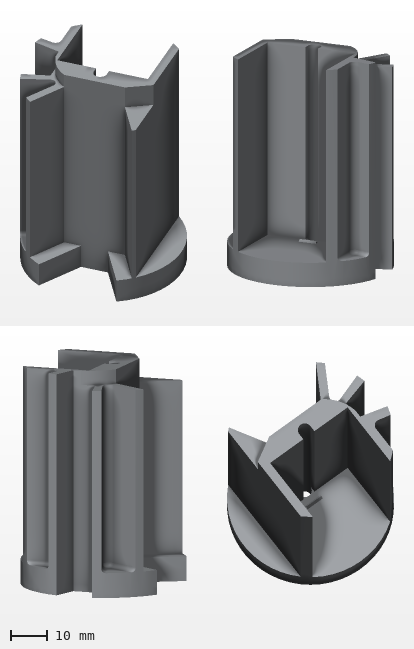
import cadquery as cq
import math

height = 61.5
radius = 22.85
base_height = 6.9
beyond = 2 * radius

body_half_width = 15.8
channel_half_width = 13.3
channel_floor_y = -0.75
front_y = -6.95
front_half_width = 8.9
leg_slope = math.tan(math.radians(60))
gusset_top = 55.0
right_bevel_y = -3.0

hole_radius = 1.9
hole_y = -2.6
ridge_width = 5.1
ridge_back_y = 2.2
ridge_peak_y = 1.55
ridge_front_y = 1.05
ridge_height = 0.6

front_notch_half_width = 3.95
side_notch_x = -14.45
side_notch_y = 0.25
side_notch_half_width = 3.2
side_notch_slope = math.tan(math.radians(15))

bracket_top = 57.55
shoulder_start = (side_notch_x, 1.15)
shoulder_middle = (-12.55, -3.4)
shoulder_end = (-front_half_width, front_y)

pocket_corner_radius = 1.65
pocket_floor_radius = 1.2
bracket_pocket_apex = (-9.7, -3.5)
bracket_pocket_rib_slope = math.tan(math.radians(18.5))
side_pocket_y = 6.75
side_pocket_slope = math.tan(math.radians(13))


def prism(points, bottom, top=height):
    """Extrude a closed polygon between two heights."""
    return cq.Workplane("XY").workplane(offset=bottom).polyline(points).close().extrude(top - bottom)


def filleted_pocket(points, apex):
    """Pocket cutter with a rounded upright corner at the apex and a rounded floor edge."""
    apex_x, apex_y = apex
    span = 0.05
    middle = (base_height + height) / 2
    corner = cq.selectors.BoxSelector(
        (apex_x - span, apex_y - span, middle - span),
        (apex_x + span, apex_y + span, middle + span),
    )
    cutter = prism(points, base_height).edges(corner).fillet(pocket_corner_radius)
    return cutter.faces("<Z").edges().fillet(pocket_floor_radius)


part = cq.Workplane("XY").circle(radius).extrude(height)

part = part.cut(
    prism(
        [
            (-channel_half_width, channel_floor_y),
            (channel_half_width, channel_floor_y),
            (channel_half_width, beyond),
            (-channel_half_width, beyond),
        ],
        base_height,
    )
)
groove_points = [
    (-hole_radius, hole_y),
    (hole_radius, hole_y),
    (hole_radius, channel_floor_y),
    (-hole_radius, channel_floor_y),
]
part = part.cut(prism(groove_points, base_height))
part = part.cut(cq.Workplane("XY").center(0, hole_y).circle(hole_radius).extrude(height))

ridge = (
    cq.Workplane("YZ")
    .polyline(
        [
            (ridge_front_y, base_height),
            (ridge_back_y, base_height),
            (ridge_peak_y, base_height + ridge_height),
        ]
    )
    .close()
    .extrude(ridge_width / 2, both=True)
)
part = part.union(ridge)

part = part.cut(
    prism(
        [
            (body_half_width, -beyond),
            (beyond, -beyond),
            (beyond, beyond),
            (body_half_width, beyond),
        ],
        base_height,
    )
)
leg_end_x = front_half_width + (beyond + front_y) / leg_slope
part = part.cut(
    prism(
        [
            (-front_half_width, front_y),
            (front_half_width, front_y),
            (leg_end_x, -beyond),
            (-leg_end_x, -beyond),
        ],
        base_height,
    )
)

part = part.cut(
    prism(
        [
            (front_half_width, front_y),
            (body_half_width, right_bevel_y),
            (beyond, right_bevel_y),
            (beyond, -beyond),
            (front_half_width, -beyond),
        ],
        gusset_top,
    )
)

lowering = (
    cq.Workplane("XY")
    .workplane(offset=bracket_top)
    .moveTo(*shoulder_start)
    .threePointArc(shoulder_middle, shoulder_end)
    .lineTo(-front_half_width, -beyond)
    .lineTo(-beyond, -beyond)
    .lineTo(-beyond, shoulder_start[1])
    .close()
    .extrude(height - bracket_top)
)
part = part.cut(lowering)

front_notch_end_x = front_notch_half_width + (beyond + front_y) / leg_slope
part = part.cut(
    prism(
        [
            (-front_notch_half_width, front_y),
            (front_notch_half_width, front_y),
            (front_notch_end_x, -beyond),
            (-front_notch_end_x, -beyond),
        ],
        0,
    )
)
side_notch_end = side_notch_half_width + (beyond + side_notch_x) * side_notch_slope
part = part.cut(
    prism(
        [
            (side_notch_x, side_notch_y - side_notch_half_width),
            (side_notch_x, side_notch_y + side_notch_half_width),
            (-beyond, side_notch_y + side_notch_end),
            (-beyond, side_notch_y - side_notch_end),
        ],
        0,
    )
)

apex_x, apex_y = bracket_pocket_apex
bracket_pocket_points = [
    bracket_pocket_apex,
    (-beyond, apex_y - (beyond + apex_x) * bracket_pocket_rib_slope),
    (-beyond, -beyond),
    (apex_x - (beyond + apex_y) / leg_slope, -beyond),
]
part = part.cut(filleted_pocket(bracket_pocket_points, bracket_pocket_apex))

side_pocket_apex = (-body_half_width, side_pocket_y)
side_pocket_points = [
    side_pocket_apex,
    (-body_half_width, beyond),
    (-beyond, beyond),
    (-beyond, side_pocket_y + (beyond - body_half_width) * side_pocket_slope),
]
part = part.cut(filleted_pocket(side_pocket_points, side_pocket_apex))

result = part